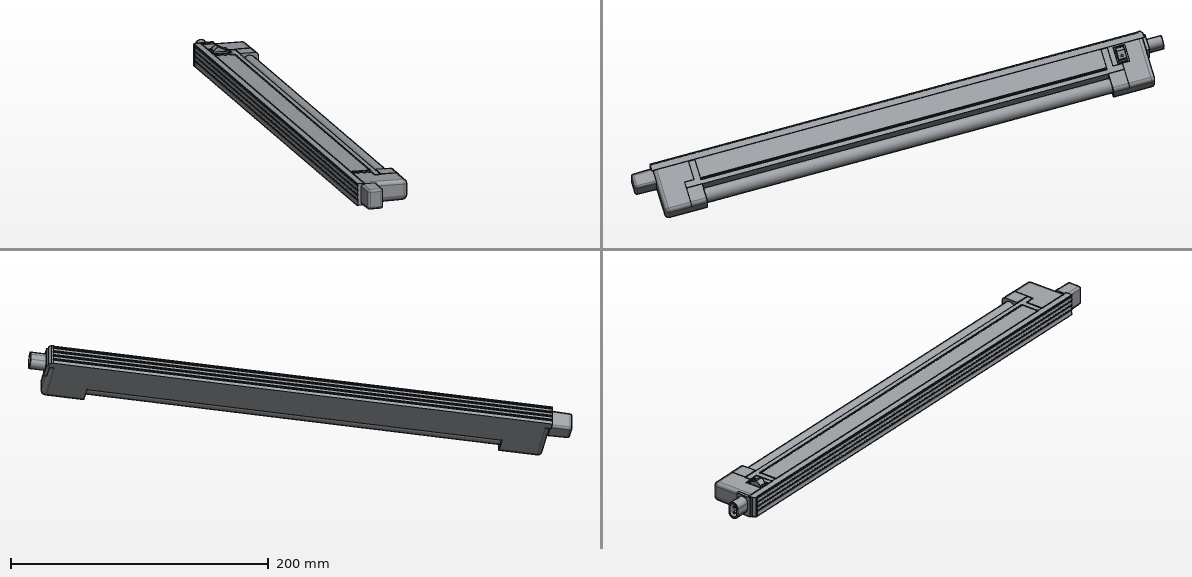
import cadquery as cq

LENGTH = 427.0
DEPTH = 42.0
HEIGHT = 20.5

BODY_LEFT = 14.5
BODY_RIGHT = 410.0
BODY_CENTRE = (BODY_LEFT + BODY_RIGHT) / 2
BODY_FRONT = 6.0
TOP_FRONT = 17.0
TOP_BACK = 16.2
RIM_RADIUS = 3.0
BOTTOM_RADIUS = 4.0

BAY_LEFT = 48.3
BAY_FRONT = 27.0
BAY_LENGTH = 2 * (BODY_CENTRE - BAY_LEFT)

LEDGE_TOP = 16.2
LEDGE_FRONT = 21.8
PANEL_MARGIN = 5.0
HOLDER_INSET = 13.0
SEAM_WIDTH = 1.3
SEAM_DEPTH = 1.3

TUBE_DIAMETER = 11.5
TUBE_Y = 34.0
TUBE_Z = 9.0

HOLDER_RAISE = 0.2

RAIL_LEFT = 13.2
RAIL_RIGHT = 410.8
RAIL_TOP = 17.5
RIB_COUNT = 4
RIB_PITCH = 3.93
RIB_RADIUS = 5.0
RIB_SETBACK = 0.5
GROOVE_HEIGHT = 0.95
GROOVE_DEPTH = 1.0
RAIL_CORNER_LENGTH = 1.5
RAIL_CORNER_DEPTH = 2.0
END_BLOCK_LENGTH = 3.5

FLANGE_LEFT = 12.0
FLANGE_FRONT = 4.0
FLANGE_BACK = 16.5
FLANGE_TOP = 17.0
CONNECTOR_Y = 10.5
CONNECTOR_Z = 9.0
SLEEVE_WIDTH = 9.0
SLEEVE_HEIGHT = 14.0
SLEEVE_WALL = 1.3
SLEEVE_DEPTH = 8.5
PIN_DIAMETER = 1.8
PIN_SPACING = SLEEVE_HEIGHT - SLEEVE_WIDTH
PIN_LENGTH = 7.5

PLUG_FRONT = 3.5
PLUG_BACK = 16.2
PLUG_BOTTOM = 0.5
PLUG_TOP = 16.5
PLUG_EDGE = 1.5
PLUG_TAPER = 1.0

SWITCH_LEFT = 29.5
SWITCH_WIDTH = 9.5
SWITCH_FRONT = 7.3
SWITCH_BACK = 21.5
BEZEL_WIDTH = 1.3
BEZEL_STEP = 0.5
RECESS_DEPTH = 1.5
ROCKER_WIDTH = 6.5
ROCKER_FRONT = 8.5
ROCKER_PEAK = 12.5
ROCKER_BACK = 18.5
ROCKER_BASE = 17.5
DIMPLE_DIAMETER = 1.55
DIMPLE_DEPTH = 0.5
DIMPLE_Y = 16.2


def box(x0, x1, y0, y1, z0, z1):
    """Box between opposite corners."""
    return cq.Workplane("XY").box(x1 - x0, y1 - y0, z1 - z0, centered=False).translate((x0, y0, z0))


def across(x):
    """Sketch plane facing +X, with local axes Y and Z."""
    return cq.Workplane("YZ", origin=(x, 0, 0))


def both_ends(shape):
    """Shape joined with its mirror image about the middle of the housing."""
    return shape.union(shape.mirror("YZ", (BODY_CENTRE, 0, 0)))


def rounded_block(raise_by=0.0):
    """Full-length housing block with a rounded rim, its top lifted by the given amount."""
    back_top = TOP_BACK + raise_by
    front_top = TOP_FRONT + raise_by
    corners = [(BODY_FRONT, 0), (DEPTH, 0), (DEPTH, back_top), (BODY_FRONT, front_top)]
    block = across(BODY_LEFT).polyline(corners).close().extrude(BODY_RIGHT - BODY_LEFT)
    block = block.faces("<X or >X or >Y").edges("not(<Y or <Z)").fillet(RIM_RADIUS)
    return block.faces("<Z").edges("not(<Y)").fillet(BOTTOM_RADIUS)


def housing():
    bay = box(BAY_LEFT, BAY_LEFT + BAY_LENGTH, BAY_FRONT, DEPTH, 0, HEIGHT)
    return rounded_block().cut(bay)


def ledges():
    """Cutter that sinks the flat ledges and the seam behind the cover panel."""
    strip_left = BAY_LEFT - HOLDER_INSET
    strip_right = 2 * BODY_CENTRE - strip_left
    strip = box(strip_left, strip_right, LEDGE_FRONT, BAY_FRONT, LEDGE_TOP, HEIGHT)
    leg = box(BAY_LEFT - PANEL_MARGIN, BAY_LEFT, BODY_FRONT, LEDGE_FRONT, LEDGE_TOP, HEIGHT)
    seam = box(BAY_LEFT, BAY_LEFT + BAY_LENGTH, LEDGE_FRONT, LEDGE_FRONT + SEAM_WIDTH,
               LEDGE_TOP - SEAM_DEPTH, HEIGHT)
    return both_ends(leg).union(strip).union(seam)


def holder_plates():
    plate = box(BAY_LEFT - HOLDER_INSET, BAY_LEFT, BAY_FRONT, DEPTH, BOTTOM_RADIUS, HEIGHT)
    return both_ends(rounded_block(HOLDER_RAISE).intersect(plate))


def tube():
    return across(BAY_LEFT).center(TUBE_Y, TUBE_Z).circle(TUBE_DIAMETER / 2).extrude(BAY_LENGTH)


def rail():
    """Bar with hollow-faced ribs along its front and a plain block at the left end."""
    profile = across(RAIL_LEFT).moveTo(BODY_FRONT, 0).lineTo(0, 0)
    for rib in range(1, RIB_COUNT + 1):
        groove_bottom = rib * RIB_PITCH
        groove_top = groove_bottom + GROOVE_HEIGHT
        profile = (
            profile.radiusArc((RIB_SETBACK, groove_bottom), -RIB_RADIUS)
            .lineTo(GROOVE_DEPTH, groove_bottom)
            .lineTo(GROOVE_DEPTH, groove_top)
            .lineTo(0, groove_top)
        )
    profile = profile.lineTo(RIB_SETBACK, RAIL_TOP).lineTo(BODY_FRONT, RAIL_TOP).close()
    bar = profile.extrude(RAIL_RIGHT - RAIL_LEFT)
    end_block = box(RAIL_LEFT, RAIL_LEFT + END_BLOCK_LENGTH, 0, BODY_FRONT, 0, RAIL_TOP)
    corner = (
        cq.Workplane("XY")
        .polyline([(RAIL_LEFT, 0), (RAIL_LEFT + RAIL_CORNER_LENGTH, 0), (RAIL_LEFT, RAIL_CORNER_DEPTH)])
        .close()
        .extrude(RAIL_TOP)
    )
    return bar.union(end_block).cut(corner)


def oblong(x, width, height, length):
    """Upright rounded bar centred on the left connector."""
    return across(x).center(CONNECTOR_Y, CONNECTOR_Z).slot2D(height, width, 90).extrude(length)


def left_connector():
    flange = box(FLANGE_LEFT, BODY_LEFT, FLANGE_FRONT, FLANGE_BACK, 0, FLANGE_TOP)
    sleeve = oblong(0, SLEEVE_WIDTH, SLEEVE_HEIGHT, BODY_LEFT)
    bore = oblong(0, SLEEVE_WIDTH - 2 * SLEEVE_WALL, SLEEVE_HEIGHT - 2 * SLEEVE_WALL, SLEEVE_DEPTH)
    pins = (
        across(SLEEVE_DEPTH - PIN_LENGTH)
        .center(CONNECTOR_Y, CONNECTOR_Z)
        .rarray(4.3, PIN_SPACING, 1, 2)
        .circle(PIN_DIAMETER / 2)
        .extrude(PIN_LENGTH)
    )
    return flange.union(sleeve).cut(bore).union(pins)


def right_connector():
    plug = (
        across(BODY_RIGHT)
        .center((PLUG_FRONT + PLUG_BACK) / 2, (PLUG_BOTTOM + PLUG_TOP) / 2)
        .rect(PLUG_BACK - PLUG_FRONT, PLUG_TOP - PLUG_BOTTOM)
        .extrude(LENGTH - BODY_RIGHT, taper=PLUG_TAPER)
    )
    return plug.edges("not(<X)").fillet(PLUG_EDGE)


def switch_recess():
    right = SWITCH_LEFT + SWITCH_WIDTH
    bezel = box(SWITCH_LEFT, right, SWITCH_FRONT, SWITCH_BACK, LEDGE_TOP - BEZEL_STEP, HEIGHT)
    well = box(SWITCH_LEFT + BEZEL_WIDTH, right - BEZEL_WIDTH, SWITCH_FRONT + BEZEL_WIDTH,
               SWITCH_BACK - BEZEL_WIDTH, LEDGE_TOP - RECESS_DEPTH, HEIGHT)
    return bezel.union(well)


def rocker():
    left = SWITCH_LEFT + (SWITCH_WIDTH - ROCKER_WIDTH) / 2
    floor = LEDGE_TOP - RECESS_DEPTH
    corners = [(ROCKER_FRONT, floor), (ROCKER_BACK, floor), (ROCKER_BACK, ROCKER_BASE),
               (ROCKER_PEAK, HEIGHT), (ROCKER_FRONT, ROCKER_BASE)]
    key = across(left).polyline(corners).close().extrude(ROCKER_WIDTH)
    slope = (HEIGHT - ROCKER_BASE) / (ROCKER_BACK - ROCKER_PEAK)
    dimple_z = ROCKER_BASE + (ROCKER_BACK - DIMPLE_Y) * slope
    dimple = (
        cq.Workplane("XY", origin=(left + ROCKER_WIDTH / 2, DIMPLE_Y, dimple_z - DIMPLE_DEPTH))
        .circle(DIMPLE_DIAMETER / 2)
        .extrude(HEIGHT)
    )
    return key.cut(dimple)


body = housing().cut(ledges()).cut(switch_recess())
added_parts = [rail(), holder_plates(), tube(), left_connector(), right_connector(), rocker()]
for added in added_parts:
    body = body.union(added)
result = body.solids().val()